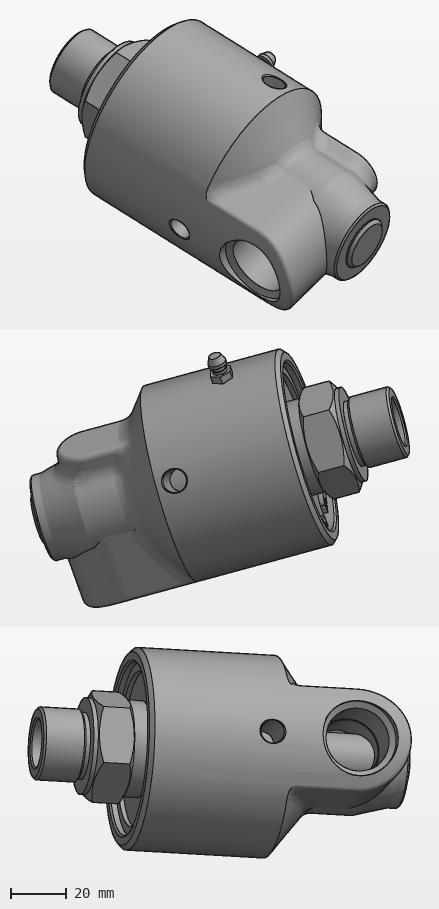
import cadquery as cq
import math


overall_length = 136.0
tolerance = 0.03
overlap = 1.4
hex_half_angle = 30

thread_d = 26.4
thread_end_x = 14.8
thread_chamfer = 0.8
relief_d = 24.2
relief_start_x = 15.6
hub_d = 35.0
hub_x = 17.3
hex_x = 18.9
hex_end_x = 32.4
hex_across_flats = 35.9
hex_chamfer_angle = 30
rotor_bore_d = 17.5
rotor_bore_depth = 85.7
bore_chamfer = 0.5

body_d = 73.0
body_r = body_d / 2
body_x = 33.7
body_chamfer = 1.6
shoulder_x = 86.0
neck_r = 19.5
neck_x = 99.4
taper_x = 117.5
collar_d = 32.0
collar_x = 130.4
collar_end_x = 134.2
collar_chamfer = 0.7
pipe_start_x = shoulder_x
pipe_d = 20.0
pipe_end_d = 17.5
root_fillet = 6.3

recess_d = 62.5
recess_floor_x = 38.4
recess_chamfer = 0.7
ring_inner_d = 56.0
ring_thickness = 1.8
ear_y = -28.7
ear_z = 8.5
ear_r = 3.8
ear_hole_d = 2.9

port_x = 111.2
lug_r = 19.0
lug_edge_fillet = 1.6
boss_r = 10.2
boss_y = 25.5
boss_edge_fillet = 2.0
port_mouth_d = 27.7
port_mouth_y = -32.8
port_seat_d = 27.0
port_thread_d = 23.3
port_seat_y = -31.5
port_thread_y = -15.6
port_bore_d = 22.6
port_bore_y = 0.0
port_point_slope = 30

drain_d = 8.5
drain_mouth_d = 9.5
drain_x = 78.9
drain_count = 3
drain_floor_r = 19.0

nipple_x = 55.1
nipple_tip_y = 46.0
nipple_hex_d = 8.5
nipple_hex_y = 39.3
nipple_base_d = 5.3
nipple_base_y = 40.4
nipple_neck_d = 4.5
nipple_neck_y = 41.9
nipple_ball_d = 6.7
nipple_ball_y = 42.2
nipple_ball_top_y = 43.4
nipple_tip_d = 4.5


def revolve_x(points):
    """Turn an (x, radius) outline around the X axis."""
    return cq.Workplane("XY").polyline(points).close().revolve(360, (0, 0, 0), (1, 0, 0))


def cylinder_x(start, end, diameter):
    return cq.Workplane("YZ").workplane(offset=start).circle(diameter / 2).extrude(end - start)


def revolve_y(x, points):
    """Turn a (radius, y) outline around the line parallel to Y at the given X."""
    outline = cq.Workplane("XY", origin=(x, 0, 0)).polyline(points).close()
    return outline.revolve(360, (0, 0, 0), (0, 1, 0))


def obround_y(radius, start_x, start_y, end_y):
    """Block along Y with flat sides and a round end on the port centre."""
    return (
        cq.Workplane("XZ", origin=(0, start_y, 0))
        .moveTo(start_x, radius)
        .lineTo(port_x, radius)
        .threePointArc((port_x + radius, 0), (port_x, -radius))
        .lineTo(start_x, -radius)
        .close()
        .extrude(start_y - end_y)
    )


def cone_and_neck_radius(x):
    """Radius of the sharp-cornered housing behind the shoulder at a given X."""
    if x < neck_x:
        return body_r + (neck_r - body_r) * (x - shoulder_x) / (neck_x - shoulder_x)
    if x < taper_x:
        return neck_r
    return neck_r + (collar_d / 2 - neck_r) * (x - taper_x) / (collar_x - taper_x)


def is_root_edge(edge):
    """True for the edges at the foot of the cone and around the foot of the boss."""
    middle = edge.positionAt(0.5)
    radius = math.hypot(middle.y, middle.z)
    on_core = abs(radius - cone_and_neck_radius(middle.x)) < tolerance
    within_length = shoulder_x + tolerance < middle.x < port_x + boss_r + tolerance
    below_boss_top = middle.y < boss_y - boss_edge_fillet + tolerance
    on_cone_or_boss = middle.x < neck_x + tolerance or middle.y > boss_r
    return on_core and within_length and below_boss_top and on_cone_or_boss


def make_core():
    return revolve_x([
        (body_x, 0),
        (body_x, body_r - body_chamfer),
        (body_x + body_chamfer, body_r),
        (shoulder_x, body_r),
        (neck_x, neck_r),
        (taper_x, neck_r),
        (collar_x, collar_d / 2),
        (collar_end_x - collar_chamfer, collar_d / 2),
        (collar_end_x, collar_d / 2 - collar_chamfer),
        (collar_end_x, 0),
    ])


def make_lug():
    lug = obround_y(lug_r, shoulder_x - overlap, 0, -body_r - overlap)
    lug = lug.intersect(cylinder_x(0, overall_length, body_d))
    return lug.faces("%CYLINDER and <Y").edges("not <X").fillet(lug_edge_fillet)


def make_boss():
    boss = obround_y(boss_r, shoulder_x, 0, boss_y)
    return boss.faces(">Y").edges("not <X").fillet(boss_edge_fillet)


def make_housing():
    housing = make_core().union(make_lug()).union(make_boss())
    root_edges = [edge for edge in housing.edges().vals() if is_root_edge(edge)]
    return housing.newObject(root_edges).fillet(root_fillet)


def make_port():
    """Turned cavity of the side port: mouth, conical seat, thread core, bore and drill point."""
    drill_point_y = port_bore_y + port_bore_d / 2 * math.tan(math.radians(port_point_slope))
    mouth_chamfer = (port_mouth_d - port_seat_d) / 2
    return revolve_y(port_x, [
        (0, -body_r - overlap),
        (port_mouth_d / 2, -body_r - overlap),
        (port_mouth_d / 2, port_mouth_y - mouth_chamfer),
        (port_seat_d / 2, port_mouth_y),
        (port_thread_d / 2, port_seat_y),
        (port_thread_d / 2, port_thread_y),
        (port_bore_d / 2, port_thread_y),
        (port_bore_d / 2, port_bore_y),
        (0, drill_point_y),
    ])


def make_drains():
    """Radial holes, evenly spaced, the first one pointing to -Y."""
    mouth_chamfer = (drain_mouth_d - drain_d) / 2
    drain = revolve_y(drain_x, [
        (0, 0),
        (drain_d / 2, 0),
        (drain_d / 2, mouth_chamfer - body_r),
        (drain_mouth_d / 2, -body_r),
        (drain_mouth_d / 2, -body_r - overlap),
        (0, -body_r - overlap),
    ])
    drains = cq.Workplane("XY")
    for i in range(drain_count):
        drains = drains.union(drain.rotate((0, 0, 0), (1, 0, 0), i * 360 / drain_count))
    return drains.cut(cylinder_x(body_x, shoulder_x, 2 * drain_floor_r))


def make_recess():
    outer_r = recess_d / 2
    return revolve_x([
        (body_x, 0),
        (body_x, outer_r + recess_chamfer),
        (body_x + recess_chamfer, outer_r),
        (recess_floor_x, outer_r),
        (recess_floor_x, 0),
    ])


def make_retaining_ring():
    """Open ring on the recess floor with two drilled ears beside the gap."""
    start = recess_floor_x - ring_thickness
    ring = cylinder_x(start, recess_floor_x, recess_d)
    ring = ring.cut(cylinder_x(start, recess_floor_x, ring_inner_d))
    gap_width = 2 * (ear_z - ear_r)
    ear_centres = [(ear_y, ear_z), (ear_y, -ear_z)]
    plane = cq.Workplane("YZ", origin=(start, 0, 0))
    ears = plane.pushPoints(ear_centres).circle(ear_r).extrude(ring_thickness)
    ears = ears.intersect(cylinder_x(start, recess_floor_x, recess_d))
    ear_holes = plane.pushPoints(ear_centres).circle(ear_hole_d / 2).extrude(ring_thickness)
    gap = plane.center(-recess_d / 2, 0).rect(recess_d / 2, gap_width).extrude(ring_thickness)
    return ring.union(ears).cut(gap).cut(ear_holes)


def make_rotor():
    rotor = revolve_x([
        (0, 0),
        (0, thread_d / 2 - thread_chamfer),
        (thread_chamfer, thread_d / 2),
        (thread_end_x, thread_d / 2),
        (relief_start_x, relief_d / 2),
        (hub_x, relief_d / 2),
        (hub_x, hub_d / 2),
        (recess_floor_x, hub_d / 2),
        (recess_floor_x, 0),
    ])
    corner_d = hex_across_flats / math.cos(math.radians(hex_half_angle))
    hexagon = (
        cq.Workplane("YZ", origin=(hex_x, 0, 0))
        .polygon(6, corner_d).extrude(hex_end_x - hex_x)
        .rotate((0, 0, 0), (1, 0, 0), hex_half_angle)
    )
    corner_length = (corner_d - hub_d) / 2 * math.tan(math.radians(hex_chamfer_angle))
    turned = revolve_x([
        (hex_x, 0),
        (hex_x, hub_d / 2),
        (hex_x + corner_length, corner_d / 2),
        (hex_end_x - corner_length, corner_d / 2),
        (hex_end_x, hub_d / 2),
        (hex_end_x, 0),
    ])
    return rotor.union(hexagon.intersect(turned))


def make_rotor_bore():
    return revolve_x([
        (0, 0),
        (0, rotor_bore_d / 2 + bore_chamfer),
        (bore_chamfer, rotor_bore_d / 2),
        (rotor_bore_depth, rotor_bore_d / 2),
        (rotor_bore_depth, 0),
    ])


def make_pipe():
    """Central pipe that crosses the port and stands out of the collar."""
    end_chamfer = (pipe_d - pipe_end_d) / 2
    return revolve_x([
        (pipe_start_x, 0),
        (pipe_start_x, pipe_d / 2),
        (overall_length - end_chamfer, pipe_d / 2),
        (overall_length, pipe_end_d / 2),
        (overall_length, 0),
    ])


def make_nipple():
    base_y = body_r - overlap
    hexagon = (
        cq.Workplane("XZ", origin=(nipple_x, base_y, 0))
        .polygon(6, nipple_hex_d).extrude(base_y - nipple_hex_y)
        .rotate((nipple_x, 0, 0), (nipple_x, 1, 0), hex_half_angle)
    )
    head = revolve_y(nipple_x, [
        (0, nipple_hex_y),
        (nipple_base_d / 2, nipple_hex_y),
        (nipple_base_d / 2, nipple_base_y),
        (nipple_neck_d / 2, nipple_base_y),
        (nipple_neck_d / 2, nipple_neck_y),
        (nipple_ball_d / 2, nipple_ball_y),
        (nipple_ball_d / 2, nipple_ball_top_y),
        (nipple_tip_d / 2, nipple_tip_y),
        (0, nipple_tip_y),
    ])
    return hexagon.union(head)


result = (
    make_housing()
    .cut(make_port())
    .cut(make_drains())
    .cut(make_recess())
    .union(make_retaining_ring())
    .union(make_rotor())
    .union(make_pipe())
    .cut(make_rotor_bore())
    .union(make_nipple())
)